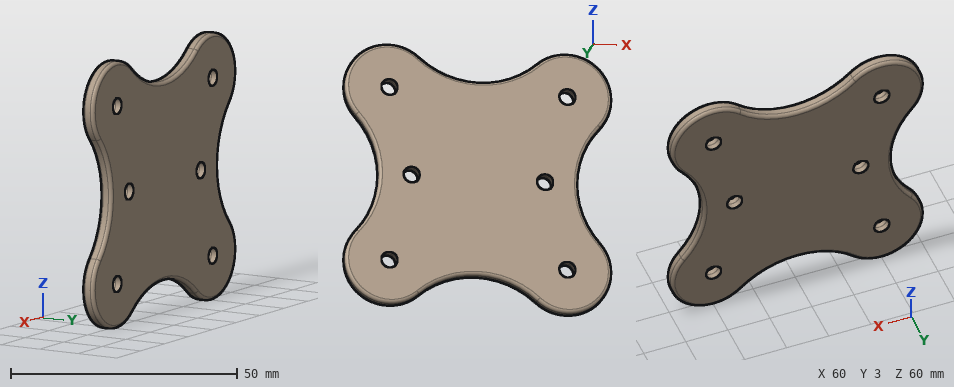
import cadquery as cq
import math

thickness = 3.0
lobe_offset = 20.0
lobe_radius = 10.0
waist_radius = 20.0
edge_fillet = 0.8
hole_diameter = 3.6
inner_hole_offset = 15.0

centre_distance = lobe_radius + waist_radius
waist_centre = lobe_offset + math.sqrt(centre_distance**2 - lobe_offset**2)
waist_depth = waist_centre - waist_radius

tangent_fraction = lobe_radius / centre_distance
tangent_near = lobe_offset - tangent_fraction * lobe_offset
tangent_far = lobe_offset + tangent_fraction * (waist_centre - lobe_offset)
lobe_tip = lobe_offset + lobe_radius / math.sqrt(2)


def quarter_turns(point, turns):
    """Rotate a 2D point anticlockwise about the origin by whole quarter turns."""
    x, z = point
    for _ in range(turns):
        x, z = -z, x
    return x, z


def make_plate():
    """Four-lobed plate, centred on the origin, with both rims rounded."""
    outline = cq.Workplane("XZ").moveTo(tangent_far, tangent_near)
    for turns in range(4):
        tip = quarter_turns((lobe_tip, lobe_tip), turns)
        lobe_end = quarter_turns((tangent_near, tangent_far), turns)
        waist_middle = quarter_turns((0, waist_depth), turns)
        waist_end = quarter_turns((-tangent_near, tangent_far), turns)
        outline = outline.threePointArc(tip, lobe_end).threePointArc(waist_middle, waist_end)
    plate = outline.close().extrude(thickness / 2, both=True)
    return plate.faces("|Y").edges().fillet(edge_fillet)


def make_holes():
    """Through-hole cutters: one per lobe and the inner pair."""
    centres = [quarter_turns((lobe_offset, lobe_offset), turns) for turns in range(4)]
    centres += [(-inner_hole_offset, 0), (inner_hole_offset, 0)]
    cutters = cq.Workplane("XZ").pushPoints(centres).circle(hole_diameter / 2)
    return cutters.extrude(thickness, both=True)


result = make_plate().cut(make_holes())